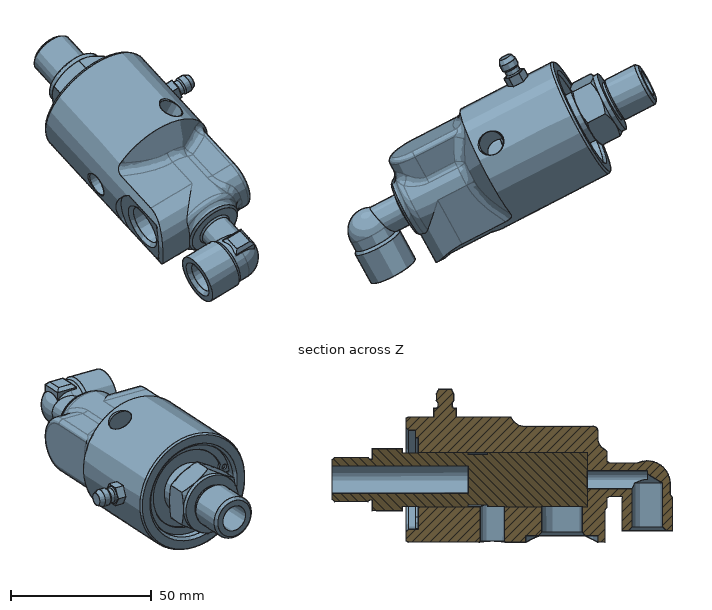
import cadquery as cq
import math

THREAD_DIA = 15.8
THREAD_CHAMFER = 1.0
THREAD_END_X = 13.4
THREAD_RUNOUT = 0.6
UNDERCUT_DIA = 14.6
COLLAR_START_X = 14.3
COLLAR_DIA = 22.1
HEX_START_X = 16.0
HEX_END_X = 25.0
HEX_FLATS = 22.1
HEX_CHAMFER_ANGLE = 30
ROTOR_BORE_DIA = 9.5
ROTOR_BORE_DEPTH = 48.4
JOURNAL_DIA = 19.1
RELIEF_DIA = 18.0
RELIEF_START_X = 48.4
RELIEF_END_X = 55.2
ROTOR_END_X = 90.7

BARREL_DIA = 44.5
BARREL_START_X = 26.3
BARREL_END_X = 63.5
RIM_CHAMFER_LENGTH = 0.8
RIM_CHAMFER_DROP = 0.5
TAPER_SLOPE = 1.35
TAPER_START_X = 55.7
TAPER_TIP_RADIUS = 3.6
BLEND_RADIUS = 4.2

MOUTH_DIA = 37.1
RECESS_DIA = 35.1
RECESS_FLOOR_X = 30.6
RING_THICKNESS = 1.0
RING_BORE_DIA = 29.8
RING_HOLE_DIA = 1.9
RING_HOLE_Y = -15.4
RING_HOLE_Z = 4.6
RING_LUG_RADIUS = 2.2

NECK_RADIUS = 12.7
NECK_END_X = 93.0
SHOULDER_X = 95.2
SHOULDER_RADIUS = 11.8
NOSE_X = 97.0
NOSE_RADIUS = 10.71
NOSE_FILLET = 4.1
HOUSING_END_X = 97.8
END_FACE_RADIUS = 9.9

ARM_START_X = 54.5
ARM_END_CENTRE_X = 84.3
REAR_ARM_HALF_HEIGHT = 10.2
REAR_ARM_Y = 19.0
REAR_ARM_EDGE = 1.8

PORT_X = 81.7
PORT_DIA = 14.3
PORT_MOUTH_DIA = 16.9
PORT_MOUTH_DEPTH = 1.3
SPOTFACE_DIA = 25.5
SPOTFACE_Y = -20.0

DRAIN_X = 57.0
DRAIN_DIA = 8.6
DRAIN_MOUTH_DIA = 9.5
DRAIN_COUNT = 3

FLANGE_DIA = 13.1
PIPE_DIA = 12.0
PIPE_START_X = 98.5
ELBOW_X = 111.98
ELBOW_DIA = 16.5
ELBOW_DOME_Y = -1.5
ELBOW_SHOULDER_Y = -5.3
SOCKET_DIA = 18.0
SOCKET_TOP_Y = -6.4
SOCKET_END_Y = -18.1
SOCKET_BORE_DIA = 10.8
SOCKET_MOUTH_DIA = 13.5
SOCKET_BORE_END_Y = -1.2
DRILL_POINT_ANGLE = 118
PIPE_BORE_DIA = 6.3
PAD_SIZE = 8.1
PAD_CHAMFER = 1.2
PAD_TOP_Z = 9.0

NIPPLE_X = 40.2
NIPPLE_HEX_FLATS = 7.0
NIPPLE_HEX_TOP_Y = 25.4
NIPPLE_NECK_RADIUS = 2.7
NIPPLE_NECK_TOP_Y = 27.5
NIPPLE_FLARE = 0.5
NIPPLE_HEAD_RADIUS = 3.1
NIPPLE_HEAD_LOW_Y = 28.1
NIPPLE_HEAD_HIGH_Y = 30.4
NIPPLE_TIP_RADIUS = 2.3
NIPPLE_TIP_Y = 32.2
NIPPLE_ROOT_Y = 20.6

BARREL_RADIUS = BARREL_DIA / 2
MARGIN = 1.2


def turned(points):
    """Solid of revolution about the X axis from (x, radius) points."""
    return cq.Workplane("XY").polyline(points).close().revolve(360, (0, 0), (1, 0))


def rod_x(start_x, end_x, diameter):
    """Round bar on the X axis."""
    return cq.Workplane("YZ", origin=(start_x, 0, 0)).circle(diameter / 2).extrude(end_x - start_x)


def turned_y(points, x):
    """Solid of revolution about the line parallel to Y at the given x, from (radius, y) points."""
    outline = [(x + radius, y) for radius, y in points]
    return cq.Workplane("XY").polyline(outline).close().revolve(360, (x, 0), (x, 1))


def hexagon_corners(flats):
    """Diameter across the corners of a hexagon."""
    return flats / math.cos(math.radians(30))


def make_rotor():
    thread_radius = THREAD_DIA / 2
    undercut_radius = UNDERCUT_DIA / 2
    journal_radius = JOURNAL_DIA / 2
    spindle = turned([
        (0, 0),
        (0, thread_radius - THREAD_CHAMFER),
        (THREAD_CHAMFER, thread_radius),
        (THREAD_END_X - THREAD_RUNOUT, thread_radius),
        (THREAD_END_X, undercut_radius),
        (COLLAR_START_X, undercut_radius),
        (COLLAR_START_X, COLLAR_DIA / 2),
        (HEX_START_X, COLLAR_DIA / 2),
        (HEX_START_X, journal_radius),
        (RELIEF_START_X, journal_radius),
        (RELIEF_START_X, RELIEF_DIA / 2),
        (RELIEF_END_X, RELIEF_DIA / 2),
        (RELIEF_END_X, journal_radius),
        (ROTOR_END_X, journal_radius),
        (ROTOR_END_X, 0),
    ])
    bore = rod_x(0, ROTOR_BORE_DEPTH, ROTOR_BORE_DIA)
    return spindle.union(make_rotor_hex()).cut(bore)


def make_rotor_hex():
    """Hexagon with corners up and down, its corners chamfered at both ends."""
    prism = (
        cq.Workplane("YZ", origin=(HEX_START_X, 0, 0))
        .transformed(rotate=(0, 0, 90))
        .polygon(6, hexagon_corners(HEX_FLATS))
        .extrude(HEX_END_X - HEX_START_X)
    )
    corner_radius = hexagon_corners(HEX_FLATS) / 2 + MARGIN
    end_radius = HEX_FLATS / 2
    chamfer = (corner_radius - end_radius) * math.tan(math.radians(HEX_CHAMFER_ANGLE))
    envelope = turned([
        (HEX_START_X, 0),
        (HEX_START_X, end_radius),
        (HEX_START_X + chamfer, corner_radius),
        (HEX_END_X - chamfer, corner_radius),
        (HEX_END_X, end_radius),
        (HEX_END_X, 0),
    ])
    return prism.intersect(envelope)


def make_neck():
    """Round neck with a rounded shoulder and a small nose at its end."""
    return (
        cq.Workplane("XY")
        .moveTo(ARM_START_X, 0)
        .lineTo(ARM_START_X, NECK_RADIUS)
        .lineTo(NECK_END_X, NECK_RADIUS)
        .tangentArcPoint((SHOULDER_X, SHOULDER_RADIUS), relative=False)
        .radiusArc((NOSE_X, NOSE_RADIUS), -NOSE_FILLET)
        .lineTo(HOUSING_END_X, END_FACE_RADIUS)
        .lineTo(HOUSING_END_X, 0)
        .close()
        .revolve(360, (0, 0), (1, 0))
    )


def make_arm(half_height, end_y):
    """Flat arm from the axis to end_y, with a round end about a line parallel to Y."""
    return (
        cq.Workplane("XZ")
        .moveTo(ARM_START_X, -half_height)
        .lineTo(ARM_END_CENTRE_X, -half_height)
        .threePointArc((ARM_END_CENTRE_X + half_height, 0), (ARM_END_CENTRE_X, half_height))
        .lineTo(ARM_START_X, half_height)
        .close()
        .extrude(-end_y)
    )


def make_front_arm():
    """Arm made too long; the barrel's round surface trims it later."""
    return make_arm(NECK_RADIUS, -BARREL_DIA)


def make_rear_arm():
    return make_arm(REAR_ARM_HALF_HEIGHT, REAR_ARM_Y).faces(">Y").edges("not <X").fillet(REAR_ARM_EDGE)


def make_taper():
    """Cone that passes through the barrel's rear edge, started inside the barrel."""
    start_radius = BARREL_RADIUS + (BARREL_END_X - TAPER_START_X) * TAPER_SLOPE
    tip_x = TAPER_START_X + (start_radius - TAPER_TIP_RADIUS) / TAPER_SLOPE
    return turned([
        (TAPER_START_X, 0),
        (TAPER_START_X, start_radius),
        (tip_x, TAPER_TIP_RADIUS),
        (tip_x, 0),
    ])


def blend_edges(body):
    """Edges where the taper meets the neck and arms, and where the rear arm meets the neck."""
    arm_meets_neck_y = math.sqrt(NECK_RADIUS**2 - REAR_ARM_HALF_HEIGHT**2)
    arm_meets_taper_x = BARREL_END_X + (BARREL_RADIUS - NECK_RADIUS) / TAPER_SLOPE
    taper = body.faces("%CONE").faces("<X").val()
    edges = [edge for edge in taper.Edges() if edge.BoundingBox().xmax > BARREL_END_X]
    for edge in body.edges().vals():
        box = edge.BoundingBox()
        if abs(box.ymin - arm_meets_neck_y) < 0.1 and box.xmax > arm_meets_taper_x + MARGIN:
            edges.append(edge)
    return edges


def make_rear_section():
    """Taper, neck and both arms with their fillets, trimmed to the barrel's round surface."""
    body = make_neck().union(make_front_arm()).union(make_rear_arm()).union(make_taper()).clean()
    body = body.newObject(blend_edges(body)).fillet(BLEND_RADIUS)
    return body.intersect(rod_x(TAPER_START_X, HOUSING_END_X, BARREL_DIA))


def make_barrel():
    return turned([
        (BARREL_START_X, 0),
        (BARREL_START_X, BARREL_RADIUS - RIM_CHAMFER_DROP),
        (BARREL_START_X + RIM_CHAMFER_LENGTH, BARREL_RADIUS),
        (BARREL_END_X, BARREL_RADIUS),
        (BARREL_END_X, 0),
    ])


def make_recess():
    """Open end of the barrel, with a chamfered mouth."""
    mouth_depth = (MOUTH_DIA - RECESS_DIA) / 2
    return turned([
        (BARREL_START_X, 0),
        (BARREL_START_X, MOUTH_DIA / 2),
        (BARREL_START_X + mouth_depth, RECESS_DIA / 2),
        (RECESS_FLOOR_X, RECESS_DIA / 2),
        (RECESS_FLOOR_X, 0),
    ])


def make_retaining_ring():
    """Flat ring on the recess floor, open at -Y between two round lugs with pliers holes."""
    start_x = RECESS_FLOOR_X - RING_THICKNESS
    lug_centres = [(RING_HOLE_Y, side * RING_HOLE_Z) for side in (-1, 1)]
    plane = cq.Workplane("YZ", origin=(start_x, 0, 0))
    outer = rod_x(start_x, RECESS_FLOOR_X, RECESS_DIA)
    gap = plane.center(-RECESS_DIA / 2, 0).rect(RECESS_DIA, 2 * RING_HOLE_Z).extrude(RING_THICKNESS)
    ring = outer.cut(rod_x(start_x, RECESS_FLOOR_X, RING_BORE_DIA)).cut(gap)
    for y, z in lug_centres:
        disc = plane.center(y, z).circle(RING_LUG_RADIUS).extrude(RING_THICKNESS)
        foot = (
            plane.center(y - RING_LUG_RADIUS, z)
            .rect(2 * RING_LUG_RADIUS, 2 * RING_LUG_RADIUS)
            .extrude(RING_THICKNESS)
        )
        ring = ring.union(disc).union(foot.intersect(outer))
    holes = plane.pushPoints(lug_centres).circle(RING_HOLE_DIA / 2).extrude(RING_THICKNESS)
    return ring.cut(holes)


def make_port():
    """Spotface and chamfered port from the front arm's outer side to the axis."""
    bore_radius = PORT_DIA / 2
    return turned_y([
        (0, 0),
        (bore_radius, 0),
        (bore_radius, SPOTFACE_Y + PORT_MOUTH_DEPTH),
        (PORT_MOUTH_DIA / 2, SPOTFACE_Y),
        (SPOTFACE_DIA / 2, SPOTFACE_Y),
        (SPOTFACE_DIA / 2, -BARREL_DIA),
        (0, -BARREL_DIA),
    ], PORT_X)


def make_drain(angle):
    """Chamfered radial hole from the surface to the axis, turned about X from -Y by the angle."""
    mouth_depth = (DRAIN_MOUTH_DIA - DRAIN_DIA) / 2
    hole = turned_y([
        (0, 0),
        (DRAIN_DIA / 2, 0),
        (DRAIN_DIA / 2, mouth_depth - BARREL_RADIUS),
        (DRAIN_MOUTH_DIA / 2 + MARGIN, -BARREL_RADIUS - MARGIN),
        (0, -BARREL_RADIUS - MARGIN),
    ], DRAIN_X)
    return hole.rotate((0, 0, 0), (1, 0, 0), angle)


def make_elbow():
    """Pipe along X that turns to a socket facing -Y, with a domed corner and a square pad on top."""
    flange_step = PIPE_START_X - HOUSING_END_X
    pipe = turned([
        (HOUSING_END_X - flange_step, 0),
        (HOUSING_END_X - flange_step, FLANGE_DIA / 2),
        (HOUSING_END_X, FLANGE_DIA / 2),
        (PIPE_START_X, PIPE_DIA / 2),
        (ELBOW_X, PIPE_DIA / 2),
        (ELBOW_X, 0),
    ])
    corner = turned_y([
        (0, ELBOW_DOME_Y),
        (ELBOW_DIA / 2, ELBOW_DOME_Y),
        (ELBOW_DIA / 2, ELBOW_SHOULDER_Y),
        (SOCKET_DIA / 2, SOCKET_TOP_Y),
        (SOCKET_DIA / 2, SOCKET_END_Y),
        (0, SOCKET_END_Y),
    ], ELBOW_X)
    dome = cq.Workplane("XY", origin=(ELBOW_X, ELBOW_DOME_Y, 0)).sphere(ELBOW_DIA / 2)
    pad = (
        cq.Workplane("XY", origin=(ELBOW_X, 0, 0))
        .rect(PAD_SIZE, PAD_SIZE)
        .extrude(PAD_TOP_Z)
        .faces(">Z")
        .chamfer(PAD_CHAMFER)
    )
    return pipe.union(corner).union(dome).union(pad)


def make_socket_bore():
    """Socket bore with a chamfered mouth and a drill point."""
    bore_radius = SOCKET_BORE_DIA / 2
    mouth_radius = SOCKET_MOUTH_DIA / 2
    point_length = bore_radius / math.tan(math.radians(DRILL_POINT_ANGLE / 2))
    return turned_y([
        (0, SOCKET_BORE_END_Y + point_length),
        (bore_radius, SOCKET_BORE_END_Y),
        (bore_radius, SOCKET_END_Y + mouth_radius - bore_radius),
        (mouth_radius, SOCKET_END_Y),
        (0, SOCKET_END_Y),
    ], ELBOW_X)


def make_nipple():
    """Grease nipple: hexagon, flared neck and round head along +Y."""
    hexagon = (
        cq.Workplane("XZ", origin=(NIPPLE_X, NIPPLE_ROOT_Y, 0))
        .polygon(6, hexagon_corners(NIPPLE_HEX_FLATS))
        .extrude(NIPPLE_ROOT_Y - NIPPLE_HEX_TOP_Y)
    )
    head = turned_y([
        (0, NIPPLE_ROOT_Y),
        (NIPPLE_NECK_RADIUS + NIPPLE_FLARE, NIPPLE_ROOT_Y),
        (NIPPLE_NECK_RADIUS + NIPPLE_FLARE, NIPPLE_HEX_TOP_Y),
        (NIPPLE_NECK_RADIUS, NIPPLE_HEX_TOP_Y + NIPPLE_FLARE),
        (NIPPLE_NECK_RADIUS, NIPPLE_NECK_TOP_Y),
        (NIPPLE_HEAD_RADIUS, NIPPLE_HEAD_LOW_Y),
        (NIPPLE_HEAD_RADIUS, NIPPLE_HEAD_HIGH_Y),
        (NIPPLE_TIP_RADIUS, NIPPLE_TIP_Y),
        (0, NIPPLE_TIP_Y),
    ], NIPPLE_X)
    return hexagon.union(head)


def make_housing():
    housing = make_barrel().union(make_rear_section()).clean()
    housing = housing.cut(make_recess()).union(make_retaining_ring())
    housing = housing.union(make_elbow()).union(make_nipple())
    housing = housing.cut(make_port())
    for index in range(DRAIN_COUNT):
        housing = housing.cut(make_drain(index * 360 / DRAIN_COUNT))
    rotor_bore = rod_x(RECESS_FLOOR_X, ROTOR_END_X, JOURNAL_DIA)
    pipe_bore = rod_x(ROTOR_END_X, ELBOW_X, PIPE_BORE_DIA)
    return housing.cut(rotor_bore).cut(make_socket_bore()).cut(pipe_bore)


rotor = make_rotor()
housing = make_housing()
result = cq.Compound.makeCompound([housing.val(), rotor.val()])